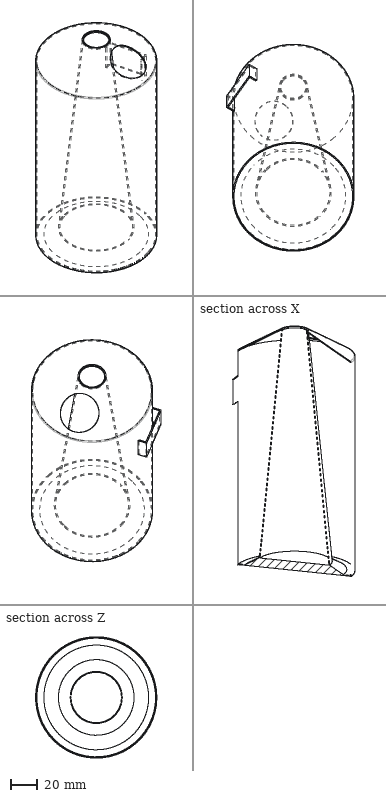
import cadquery as cq
import math

height = 191.1
outer_radius = 46.3
wall = 1.0

roof_angle = 30.0
mouth_rim_radius = 10.7
shoulder_fillet = 1.3

side_hole_radius = 15.0
side_hole_x = 28.3
side_hole_depth = 7.6

tube_base_radius = 28.9

step_bottom_radius = 40.0

bracket_width = 32.0
bracket_bottom = 127.0
bracket_height = 19.9
bracket_outer_y = 50.3

roof_slope = math.tan(math.radians(roof_angle))
roof_drop = wall / math.cos(math.radians(roof_angle))
bore_radius = outer_radius - wall
mouth_radius = mouth_rim_radius - wall
tube_top = height - roof_drop
step_top = wall + (step_bottom_radius - tube_base_radius) * roof_slope


def roof_z(radius):
    """Height of the roof's outer surface at a given radius."""
    return height - (radius - mouth_rim_radius) * roof_slope


def revolved(outline):
    """Turn a closed list of (radius, z) points about the Z axis into a solid."""
    return cq.Workplane("XZ").polyline(outline).close().revolve(360, (0, 0), (0, 1))


def make_side_hole():
    """Cylinder whose axis is normal to the roof at the centre of the side opening."""
    tilt = math.radians(roof_angle)
    normal = cq.Vector(math.sin(tilt), 0, math.cos(tilt))
    centre = cq.Vector(side_hole_x, 0, roof_z(side_hole_x))
    start = centre - normal * side_hole_depth
    return cq.Workplane(cq.Solid.makeCylinder(side_hole_radius, 2 * side_hole_depth, start, normal))


def make_housing():
    """Shell open at the bottom and at the mouth, with a rounded shoulder below the roof."""
    shoulder_z = roof_z(outer_radius)
    outside = revolved([
        (0, 0),
        (outer_radius, 0),
        (outer_radius, shoulder_z),
        (mouth_rim_radius, height),
        (0, height),
    ])
    outside = outside.faces("%CONE").edges("<Z").fillet(shoulder_fillet)
    inside = revolved([
        (0, 0),
        (bore_radius, 0),
        (bore_radius, roof_z(bore_radius) - roof_drop),
        (mouth_rim_radius, tube_top),
        (mouth_radius, tube_top),
        (mouth_radius, height),
        (0, height),
    ])
    return outside.cut(inside).cut(make_side_hole())


def make_tube():
    """Conical tube reaching from the step of the base up to the underside of the mouth rim."""
    return revolved([
        (tube_base_radius - wall, step_top),
        (tube_base_radius, step_top),
        (mouth_rim_radius, tube_top),
        (mouth_radius, tube_top),
    ])


def make_base():
    """Plate that fills the foot of the housing, with the conical step in its middle."""
    return revolved([
        (0, 0),
        (bore_radius, 0),
        (bore_radius, wall),
        (step_bottom_radius, wall),
        (tube_base_radius, step_top),
        (0, step_top),
    ])


def upright_block(width, reach):
    """Block as tall as the bracket, from the central axis out to Y = reach."""
    block = cq.Workplane("XY").box(width, reach, bracket_height, centered=(True, False, False))
    return block.translate((0, 0, bracket_bottom))


def make_bracket():
    """U-shaped strap whose two legs end on the housing wall."""
    strap = upright_block(bracket_width, bracket_outer_y)
    gap = upright_block(bracket_width - 2 * wall, bracket_outer_y - wall)
    housing_wall = cq.Workplane("XY").circle(outer_radius).extrude(height)
    return strap.cut(gap).cut(housing_wall)


housing = make_housing()
tube = make_tube()
base = make_base()
bracket = make_bracket()

result = cq.Compound.makeCompound([
    housing.solids().val(),
    tube.solids().val(),
    base.solids().val(),
    bracket.solids().val(),
])